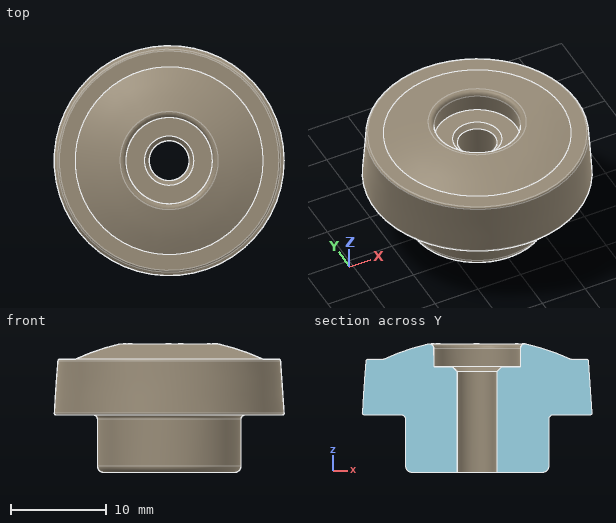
import cadquery as cq
import math

outer_diameter = 24.0
flange_bottom_z = 6.0
flange_top_z = 11.83
flange_edge_fillet = 0.2
flange_draft = math.radians(3.9)

corner_overhang = flange_edge_fillet * (math.tan(flange_draft) + 1 / math.cos(flange_draft) - 1)
flange_bottom_radius = outer_diameter / 2 + corner_overhang
flange_top_radius = flange_bottom_radius - (flange_top_z - flange_bottom_z) * math.tan(flange_draft)

dome_base_radius = 9.8
dome_sphere_radius = 23.2
dome_center_z = flange_top_z - math.sqrt(dome_sphere_radius**2 - dome_base_radius**2)

boss_radius = 15.0 / 2
boss_bottom_fillet = 0.7
boss_root_fillet = 0.43

recess_radius = 9.0 / 2
recess_floor_z = 11.05
recess_rim_fillet = 0.5
hole_radius = 4.13 / 2
hole_chamfer = 0.5


def dome_height(radius):
    """Height of the dome surface at a distance from the axis."""
    return dome_center_z + math.sqrt(dome_sphere_radius**2 - radius**2)


def revolved_body():
    """Boss, flange and dome, with the recess and hole left open along the axis."""
    arc_middle_radius = (dome_base_radius + recess_radius) / 2
    profile = (
        cq.Workplane("XZ")
        .moveTo(hole_radius, 0)
        .lineTo(boss_radius, 0)
        .lineTo(boss_radius, flange_bottom_z)
        .lineTo(flange_bottom_radius, flange_bottom_z)
        .lineTo(flange_top_radius, flange_top_z)
        .lineTo(dome_base_radius, flange_top_z)
        .threePointArc(
            (arc_middle_radius, dome_height(arc_middle_radius)),
            (recess_radius, dome_height(recess_radius)),
        )
        .lineTo(recess_radius, recess_floor_z)
        .lineTo(hole_radius + hole_chamfer, recess_floor_z)
        .lineTo(hole_radius, recess_floor_z - hole_chamfer)
        .close()
    )
    return profile.revolve(360, (0, 0, 0), (0, 1, 0))


def round_edge(body, edge_radius, edge_z, fillet_radius):
    """Fillet the circular edge of the given radius and height."""
    tolerance = 0.002

    def is_wanted(edge):
        height_error = abs(edge.Center().z - edge_z)
        radius_error = abs(edge.radius() - edge_radius)
        return max(height_error, radius_error) < tolerance

    circles = body.edges("%CIRCLE").filter(is_wanted)
    return circles.fillet(fillet_radius)


result = revolved_body()
result = round_edge(result, boss_radius, 0, boss_bottom_fillet)
result = round_edge(result, boss_radius, flange_bottom_z, boss_root_fillet)
result = round_edge(result, flange_bottom_radius, flange_bottom_z, flange_edge_fillet)
result = round_edge(result, flange_top_radius, flange_top_z, flange_edge_fillet)
result = round_edge(result, recess_radius, dome_height(recess_radius), recess_rim_fillet)